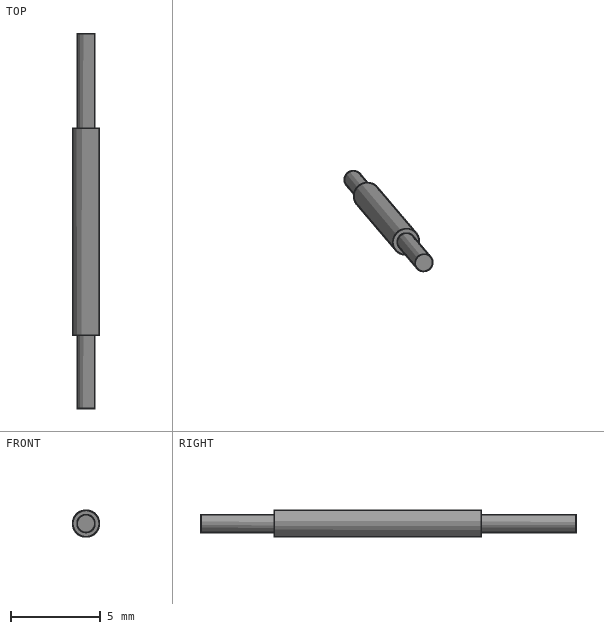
import cadquery as cq

total_length = 21.0
front_pin_length = 4.1
body_length = 11.6
pin_diameter = 1.0
body_diameter = 1.5

rear_pin_length = total_length - front_pin_length - body_length


def cylinder_along_y(diameter, start_y, length):
    """Solid cylinder on the Y axis, from start_y toward +Y."""
    base = cq.Workplane("XZ", origin=(0, start_y, 0))
    return base.circle(diameter / 2).extrude(-length)


body = cylinder_along_y(body_diameter, 0, body_length)
front_pin = cylinder_along_y(pin_diameter, -front_pin_length, front_pin_length)
rear_pin = cylinder_along_y(pin_diameter, body_length, rear_pin_length)

result = body.union(front_pin).union(rear_pin)